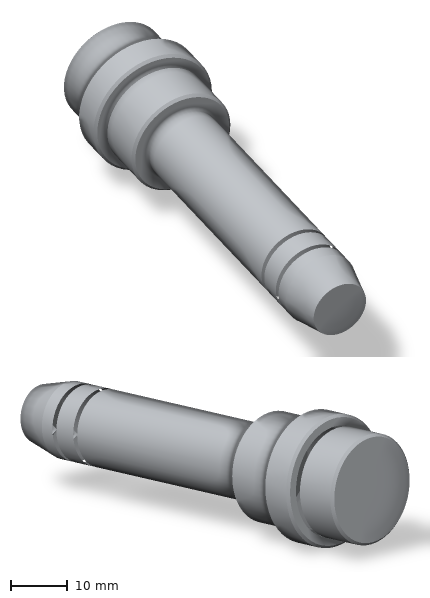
import cadquery as cq

total_length = 81.0
head_diameter = 20.0
flange_diameter = 24.0
shaft_diameter = 14.0
tip_diameter = 10.6

flange_start = 8.9
flange_end = 15.0
head_end = 25.0
taper_start = 74.1
shaft_groove_centers = (65.9, 71.0)

edge_chamfer = 0.5
root_fillet = 0.5
groove_radius = 0.5


def cylinder(start, end, diameter):
    """Solid cylinder along X between two axial positions."""
    return cq.Workplane("YZ", origin=(start, 0, 0)).circle(diameter / 2).extrude(end - start)


def groove(center, surface_diameter):
    """Ring of circular section, centred on a cylinder's surface, for cutting a round groove."""
    return (
        cq.Workplane("XY")
        .center(center, surface_diameter / 2)
        .circle(groove_radius)
        .revolve(360, (0, -surface_diameter / 2), (1, -surface_diameter / 2))
    )


def make_head():
    """Chamfered head with a round relief groove on each side of the flange."""
    head = cylinder(0, head_end, head_diameter).edges().chamfer(edge_chamfer)
    for center in (flange_start - groove_radius, flange_end + groove_radius):
        head = head.cut(groove(center, head_diameter))
    flange = cylinder(flange_start, flange_end, flange_diameter).edges().chamfer(edge_chamfer)
    return head.union(flange)


def make_shaft():
    """Shaft with a flared root, a tapered tip and round grooves near the tip."""
    shaft_radius = shaft_diameter / 2
    root_radius = shaft_radius + root_fillet
    shaft = (
        cq.Workplane("XY")
        .moveTo(flange_end, 0)
        .lineTo(flange_end, shaft_radius)
        .lineTo(head_end, shaft_radius)
        .lineTo(head_end, root_radius)
        .radiusArc((head_end + root_fillet, shaft_radius), -root_fillet)
        .lineTo(taper_start, shaft_radius)
        .lineTo(total_length, tip_diameter / 2)
        .lineTo(total_length, 0)
        .close()
        .revolve(360, (0, 0), (1, 0))
    )
    for center in shaft_groove_centers:
        shaft = shaft.cut(groove(center, shaft_diameter))
    return shaft


result = make_head().union(make_shaft())